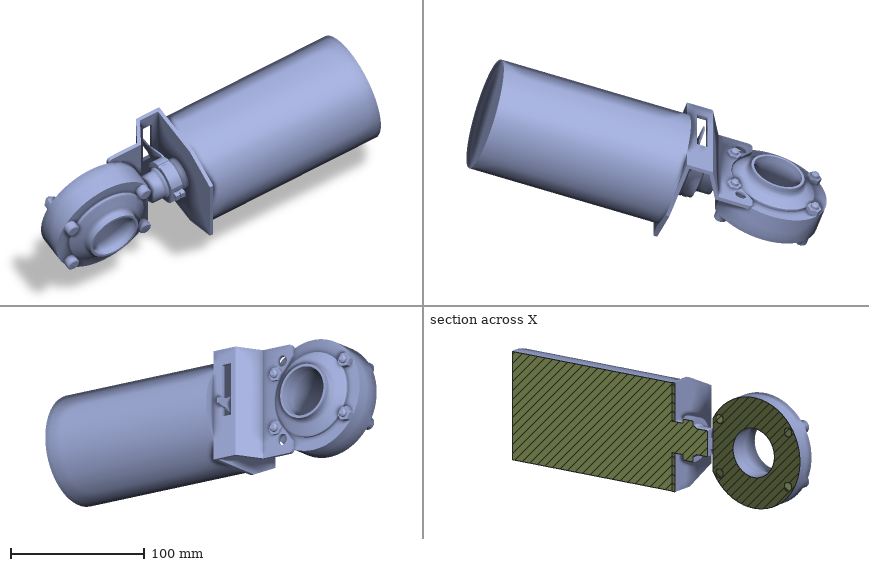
import cadquery as cq
import math


actuator_diameter = 85.0
total_length = 267.5
spindle_diameter = 26.0
collar_diameter = 34.0
collar_shoulder_diameter = 25.0
coupling_diameter = 22.0
coupling_end_y = 42.8
shoulder_start_y = 53.2
collar_start_y = 56.2
collar_end_y = 65.8
coupling_chamfer = 0.8

groove_width = 2.7
groove_depth = 1.3
groove_offset = 3.0
clamp_flat_x = 15.0
clamp_ear_reach = 19.0
clamp_ear_width = 5.4
clamp_ear_start_y = 57.8
clamp_slit = 1.0

pointer_thickness = 1.3
pointer_root_x = -13.5
pointer_root_width = 26.8
pointer_bar_start_x = -33.0
pointer_bar_end_x = -36.7
pointer_bar_width = 7.2
pointer_tip_width = 4.0

flange_diameter = 86.5
flange_width = 22.0
flat_y = 38.0
valve_length = 47.5
bore_diameter = 38.0
pipe_diameter = 42.0
boss_diameter = 65.5
boss_x = 13.0
cone_rim_x = 13.6
cone_rim_diameter = 63.7
cone_root_x = 18.0
neck_fillet = 3.2
stem_width = 7.2
stem_root_y = 21.7

bolt_y = 31.8
bolt_z = 21.1
shank_diameter = 6.5
head_diameter = 10.0
head_height = 6.5
nut_corner_diameter = 11.5
nut_height = 4.8
tip_projection = 8.3
head_chamfer = 0.8
tip_chamfer = 1.3
nut_chamfer = 0.5

sheet = 3.0
bracket_face_y = 75.7
arm_x = -33.5
first_bend_y = 55.0
bend_angle = 60
tab_end_y = 16.9
tab_corner_radius = 3.2
plate_taper_x = 14.7
plate_end_height = 60.5
window_y = (59.5, 67.7)
window_z = (-10.2, 30.2)
relief_radius = 33.5
relief_flare_angle = 37
mount_hole_diameter = 8.5
mount_hole_y = 26.2
mount_hole_z = 30.8

flange_radius = flange_diameter / 2
actuator_radius = actuator_diameter / 2
flange_face_x = flange_width / 2
actuator_end_y = total_length - flange_radius


def box_between(x_range, y_range, z_range):
    """Box given by its lower and upper limits along each axis."""
    limits = (x_range, y_range, z_range)
    sizes = [high - low for low, high in limits]
    lows = [low for low, high in limits]
    return cq.Workplane("XY").box(*sizes, centered=False).translate(tuple(lows))


def cylinder_y(diameter, start_y, end_y):
    """Cylinder about the Y axis."""
    return cq.Workplane("XZ", origin=(0, start_y, 0)).circle(diameter / 2).extrude(start_y - end_y)


def cylinder_x(diameter, start_x, end_x):
    """Cylinder about the X axis."""
    return cq.Workplane("YZ", origin=(start_x, 0, 0)).circle(diameter / 2).extrude(end_x - start_x)


def hexagon_x(corner_diameter, start_x, end_x):
    """Hexagonal prism about the X axis, with two corners on the Y axis."""
    return cq.Workplane("YZ", origin=(start_x, 0, 0)).polygon(6, corner_diameter).extrude(end_x - start_x)


def make_coupling():
    """Stepped spindle below the actuator, turned about the Y axis."""
    coupling_radius = coupling_diameter / 2
    shoulder_radius = collar_shoulder_diameter / 2
    collar_radius = collar_diameter / 2
    spindle_radius = spindle_diameter / 2
    shoulder_end_y = shoulder_start_y + shoulder_radius - coupling_radius
    return (
        cq.Workplane("XY")
        .moveTo(0, coupling_end_y)
        .lineTo(coupling_radius - coupling_chamfer, coupling_end_y)
        .lineTo(coupling_radius, coupling_end_y + coupling_chamfer)
        .lineTo(coupling_radius, shoulder_start_y)
        .lineTo(shoulder_radius, shoulder_end_y)
        .lineTo(shoulder_radius, collar_start_y)
        .lineTo(collar_radius, collar_start_y)
        .lineTo(collar_radius, collar_end_y)
        .lineTo(spindle_radius, collar_end_y)
        .lineTo(spindle_radius, bracket_face_y)
        .lineTo(0, bracket_face_y)
        .close()
        .revolve(360, (0, 0, 0), (0, 1, 0))
    )


def cut_clamp_details(coupling):
    """Grooves on the collar, a seat for the pointer, and the flat behind the clamp ear."""
    collar_radius = collar_diameter / 2
    collar_y = (collar_start_y, collar_end_y)
    groove_span = (groove_offset - groove_width / 2, groove_offset + groove_width / 2)
    mirrored_span = (-groove_span[1], -groove_span[0])
    groove_reach = (collar_radius - groove_depth, collar_radius)
    mirrored_reach = (-groove_reach[1], -groove_reach[0])
    across = (-collar_radius, collar_radius)
    top_groove = box_between(mirrored_span, collar_y, groove_reach)
    side_groove = box_between(mirrored_reach, collar_y, groove_span)
    pointer_seat = box_between(
        (-collar_radius, pointer_root_x), (collar_end_y - pointer_thickness, collar_end_y), across
    )
    clamp_flat = box_between((clamp_flat_x, collar_radius), collar_y, across)
    return coupling.cut(top_groove).cut(side_groove).cut(pointer_seat).cut(clamp_flat)


def make_clamp_ear():
    """Ear on the +X side of the collar, split by a slit across the Y axis."""
    slit_y = (clamp_ear_start_y + collar_end_y) / 2
    ear_z = (-clamp_ear_width / 2, clamp_ear_width / 2)
    root_x = spindle_diameter / 2
    ear = box_between((root_x, clamp_ear_reach), (clamp_ear_start_y, collar_end_y), ear_z)
    slit = box_between(
        ((clamp_flat_x + clamp_ear_reach) / 2, clamp_ear_reach),
        (slit_y - clamp_slit / 2, slit_y + clamp_slit / 2),
        ear_z,
    )
    return ear.cut(slit)


def make_pointer():
    """Thin tapering pointer, flush with the outline of the actuator at its tip."""
    half_outline = [
        (0, pointer_root_width / 2),
        (pointer_root_x, pointer_root_width / 2),
        (pointer_bar_start_x, pointer_bar_width / 2),
        (pointer_bar_end_x, pointer_bar_width / 2),
        (-actuator_radius, pointer_tip_width / 2),
    ]
    mirrored = [(x, -z) for x, z in reversed(half_outline)]
    return (
        cq.Workplane("XZ", origin=(0, collar_end_y, 0))
        .polyline(half_outline + mirrored)
        .close()
        .extrude(pointer_thickness)
    )


def make_actuator():
    drum = cylinder_y(actuator_diameter, bracket_face_y, actuator_end_y)
    coupling = cut_clamp_details(make_coupling())
    return drum.union(coupling).union(make_clamp_ear()).union(make_pointer())


def make_bolt(y, z):
    """Cap screw with its hexagon nut, head towards +X."""
    head_end_x = flange_face_x + head_height
    nut_end_x = -flange_face_x - nut_height
    tip_x = -flange_face_x - tip_projection
    shank = cylinder_x(shank_diameter, tip_x, flange_face_x).faces("<X").chamfer(tip_chamfer)
    head = cylinder_x(head_diameter, flange_face_x, head_end_x).faces(">X").chamfer(head_chamfer)
    crown = cylinder_x(nut_corner_diameter, nut_end_x, -flange_face_x)
    crown = crown.faces("<X or >X").chamfer(nut_chamfer)
    nut = hexagon_x(nut_corner_diameter, nut_end_x, -flange_face_x).intersect(crown)
    return shank.union(head).union(nut).translate((0, y, z))


def make_pipe_half():
    """Neck of the valve on the +X side, turned about the X axis, still without its bore."""
    pipe_radius = pipe_diameter / 2
    boss_radius = boss_diameter / 2
    end_x = valve_length / 2
    neck = (
        cq.Workplane("XY")
        .polyline([
            (0, 0),
            (0, boss_radius),
            (boss_x, boss_radius),
            (cone_rim_x, cone_rim_diameter / 2),
            (cone_root_x, pipe_radius),
            (end_x, pipe_radius),
            (end_x, 0),
        ])
        .close()
        .revolve(360, (0, 0, 0), (1, 0, 0))
    )
    neck_corner = cq.selectors.NearestToPointSelector((cone_root_x, 0, 0))
    return neck.edges("%CIRCLE").edges(neck_corner).fillet(neck_fillet)


def make_valve():
    flange = cylinder_x(flange_diameter, -flange_face_x, flange_face_x)
    beyond_flat = box_between(
        (-flange_face_x, flange_face_x), (flat_y, flange_radius), (-flange_radius, flange_radius)
    )
    stem_half = stem_width / 2
    stem = box_between(
        (-stem_half, stem_half), (stem_root_y, coupling_end_y), (-stem_half, stem_half)
    )
    neck = make_pipe_half()
    valve = flange.cut(beyond_flat).union(neck).union(neck.mirror("YZ")).union(stem)
    valve = valve.cut(cylinder_x(bore_diameter, -valve_length / 2, valve_length / 2))
    for y, z in bolt_places:
        hole = cylinder_x(shank_diameter, -flange_face_x, flange_face_x)
        valve = valve.cut(hole.translate((0, y, z)))
    return valve


def make_folded_sheet():
    """Sheet folded from the plate under the actuator, down and inward, to the tab on the flange."""
    tab_x = -flange_face_x - sheet
    second_bend_y = first_bend_y - (tab_x - arm_x) / math.tan(math.radians(bend_angle))
    mitre = sheet * math.tan(math.radians(bend_angle / 2))
    return (
        cq.Workplane("XY", origin=(0, 0, -actuator_radius))
        .polyline([
            (actuator_radius, bracket_face_y),
            (arm_x, bracket_face_y),
            (arm_x, first_bend_y),
            (tab_x, second_bend_y),
            (tab_x, tab_end_y),
            (tab_x + sheet, tab_end_y),
            (tab_x + sheet, second_bend_y + mitre),
            (arm_x + sheet, first_bend_y + mitre),
            (arm_x + sheet, bracket_face_y - sheet),
            (actuator_radius, bracket_face_y - sheet),
        ])
        .close()
        .extrude(actuator_diameter)
    )


def make_plate_corner():
    """Corner removed from the upper +X side of the plate."""
    return (
        cq.Workplane("XZ", origin=(0, bracket_face_y, 0))
        .polyline([
            (plate_taper_x, actuator_radius),
            (actuator_radius, actuator_radius),
            (actuator_radius, plate_end_height / 2),
        ])
        .close()
        .extrude(sheet)
    )


def make_tab_relief():
    """Opening around the valve boss: an arc that flares out along its tangents to the tab end."""
    flare = math.radians(relief_flare_angle)
    tangent_y = relief_radius * math.cos(flare)
    tangent_z = relief_radius * math.sin(flare)
    mouth_z = tangent_z + (tangent_y - tab_end_y) / math.tan(flare)
    return (
        cq.Workplane("YZ", origin=(-flange_face_x - sheet, 0, 0))
        .moveTo(tab_end_y, -mouth_z)
        .lineTo(tangent_y, -tangent_z)
        .threePointArc((relief_radius, 0), (tangent_y, tangent_z))
        .lineTo(tab_end_y, mouth_z)
        .close()
        .extrude(sheet)
    )


def make_bracket():
    tab_x = -flange_face_x - sheet
    bracket = make_folded_sheet()
    bracket = bracket.faces("<Y").edges("|X").fillet(tab_corner_radius)
    corner = make_plate_corner()
    bracket = bracket.cut(corner).cut(corner.mirror("XY"))
    bracket = bracket.cut(cylinder_y(spindle_diameter, bracket_face_y - sheet, bracket_face_y))
    bracket = bracket.cut(box_between((arm_x, arm_x + sheet), window_y, window_z))
    bracket = bracket.cut(make_tab_relief())
    for side in (-1, 1):
        mount_hole = cylinder_x(mount_hole_diameter, tab_x, tab_x + sheet)
        nut_hole = hexagon_x(nut_corner_diameter, tab_x, tab_x + sheet)
        bracket = bracket.cut(mount_hole.translate((0, mount_hole_y, side * mount_hole_z)))
        bracket = bracket.cut(nut_hole.translate((0, bolt_y, side * bolt_z)))
    return bracket


bolt_places = [(y, z) for y in (-bolt_y, bolt_y) for z in (-bolt_z, bolt_z)]

actuator = make_actuator()
bracket = make_bracket()
valve = make_valve()
bolts = [make_bolt(y, z) for y, z in bolt_places]

result = cq.Compound.makeCompound(
    [actuator.val(), bracket.val(), valve.val(), *[bolt.val() for bolt in bolts]]
)